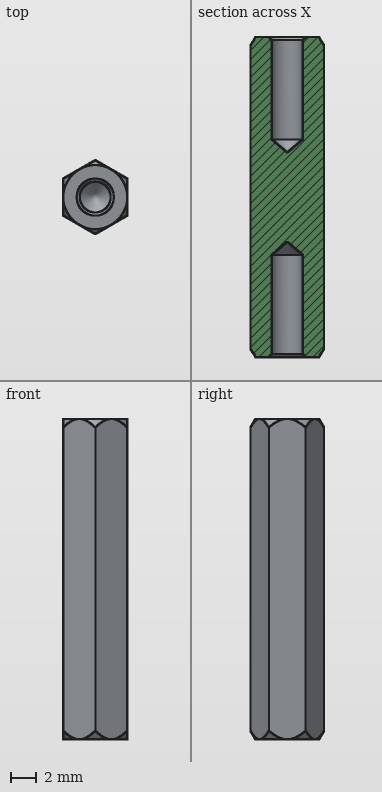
import cadquery as cq
import math

length = 25.0
across_flats = 5.0
across_corners = across_flats / math.cos(math.radians(30))

corner_trim_angle = 60.0
corner_trim_depth = (across_corners - across_flats) / 2 * math.tan(math.radians(corner_trim_angle))

bore_diameter = 2.4
mouth_diameter = 2.9
bore_depth = 8.0
drill_point_angle = 100.0

bore_radius = bore_diameter / 2
mouth_radius = mouth_diameter / 2
mouth_depth = mouth_radius - bore_radius
drill_point_depth = bore_radius / math.tan(math.radians(drill_point_angle / 2))


def hex_bar():
    return (
        cq.Workplane("XY")
        .polygon(6, across_corners)
        .extrude(length)
        .rotate((0, 0, 0), (0, 0, 1), 30)
    )


def corner_trim_envelope():
    """Round bar with coned ends that cuts only the hexagon corners."""
    end_radius = across_flats / 2
    outer_radius = across_corners / 2
    return (
        cq.Workplane("XZ")
        .moveTo(0, 0)
        .lineTo(end_radius, 0)
        .lineTo(outer_radius, corner_trim_depth)
        .lineTo(outer_radius, length - corner_trim_depth)
        .lineTo(end_radius, length)
        .lineTo(0, length)
        .close()
        .revolve(360, (0, 0, 0), (0, 1, 0))
    )


def top_hole():
    """Countersunk blind hole with a conical drill point, open at the top end."""
    return (
        cq.Workplane("XZ")
        .moveTo(0, length)
        .lineTo(mouth_radius, length)
        .lineTo(bore_radius, length - mouth_depth)
        .lineTo(bore_radius, length - bore_depth)
        .lineTo(0, length - bore_depth - drill_point_depth)
        .close()
        .revolve(360, (0, 0, 0), (0, 1, 0))
    )


upper_hole = top_hole()
lower_hole = upper_hole.mirror("XY", (0, 0, length / 2))

result = hex_bar().intersect(corner_trim_envelope()).cut(upper_hole).cut(lower_hole)